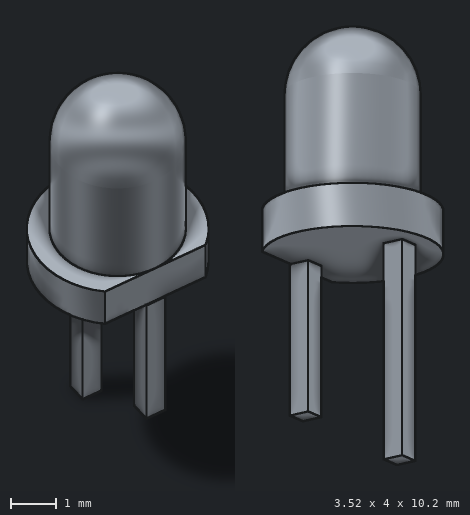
import cadquery as cq

lens_diameter = 3.0
lens_radius = lens_diameter / 2
body_height = 5.2
dome_base_z = body_height - lens_radius

flange_radius = 2.0
flange_height = 1.0
flat_x = lens_radius

lead_pitch = 2.54
lead_width = 0.5
anode_length = 5.0
cathode_length = 3.5


def make_lens():
    """Cylinder closed by a hemispherical dome, revolved about Z."""
    profile = (
        cq.Workplane("XZ")
        .lineTo(-lens_radius, 0)
        .lineTo(-lens_radius, dome_base_z)
        .radiusArc((0, body_height), lens_radius)
        .close()
    )
    return profile.revolve(360, (0, 0, 0), (0, 1, 0))


def make_flange():
    """Disc with one side cut flat to mark the cathode."""
    disc = cq.Workplane("XY").circle(flange_radius).extrude(flange_height)
    kept_length = flange_radius + flat_x
    kept_region = (
        cq.Workplane("XY")
        .box(kept_length, 2 * flange_radius, flange_height, centered=(False, True, False))
        .translate((-flange_radius, 0, 0))
    )
    return disc.intersect(kept_region)


def make_lead(center_x, length):
    """Square lead hanging down from the flange underside."""
    return (
        cq.Workplane("XY")
        .center(center_x, 0)
        .rect(lead_width, lead_width)
        .extrude(-length)
    )


anode = make_lead(-lead_pitch / 2, anode_length)
cathode = make_lead(lead_pitch / 2, cathode_length)
result = make_flange().union(make_lens()).union(anode).union(cathode)